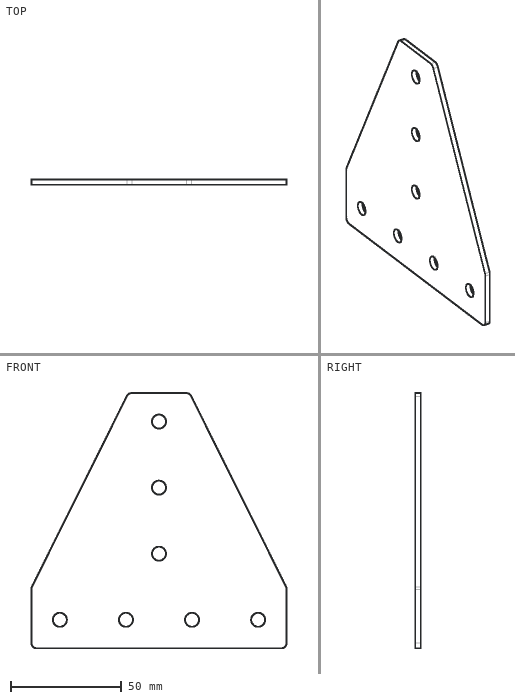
import cadquery as cq

side = 116.0
thickness = 2.5
top_width = 27.8
shoulder_height = 27.5
corner_radius = 2.5

hole_diameter = 6.3
hole_edge_distance = 13.0
holes_per_row = 4
hole_pitch = (side - 2 * hole_edge_distance) / (holes_per_row - 1)


def make_plate():
    """Tapered plate standing on its base, centred on X and Y, with rounded corners."""
    half_side = side / 2
    half_top = top_width / 2
    outline = [
        (-half_side, 0),
        (half_side, 0),
        (half_side, shoulder_height),
        (half_top, side),
        (-half_top, side),
        (-half_side, shoulder_height),
    ]
    plate = cq.Workplane("XZ").polyline(outline).close().extrude(thickness / 2, both=True)
    return plate.edges("|Y").fillet(corner_radius)


def hole_centres():
    """Centres of the base row, then of the column above it."""
    first_x = hole_edge_distance - side / 2
    base_row = [(first_x + i * hole_pitch, hole_edge_distance) for i in range(holes_per_row)]
    column = [(0, hole_edge_distance + i * hole_pitch) for i in range(1, holes_per_row)]
    return base_row + column


def make_hole_cutter():
    """Round pins that pass right through the plate."""
    front_plane = cq.Workplane("XZ", origin=(0, -thickness / 2, 0))
    pins = front_plane.pushPoints(hole_centres()).circle(hole_diameter / 2)
    return pins.extrude(-thickness)


result = make_plate().cut(make_hole_cutter())